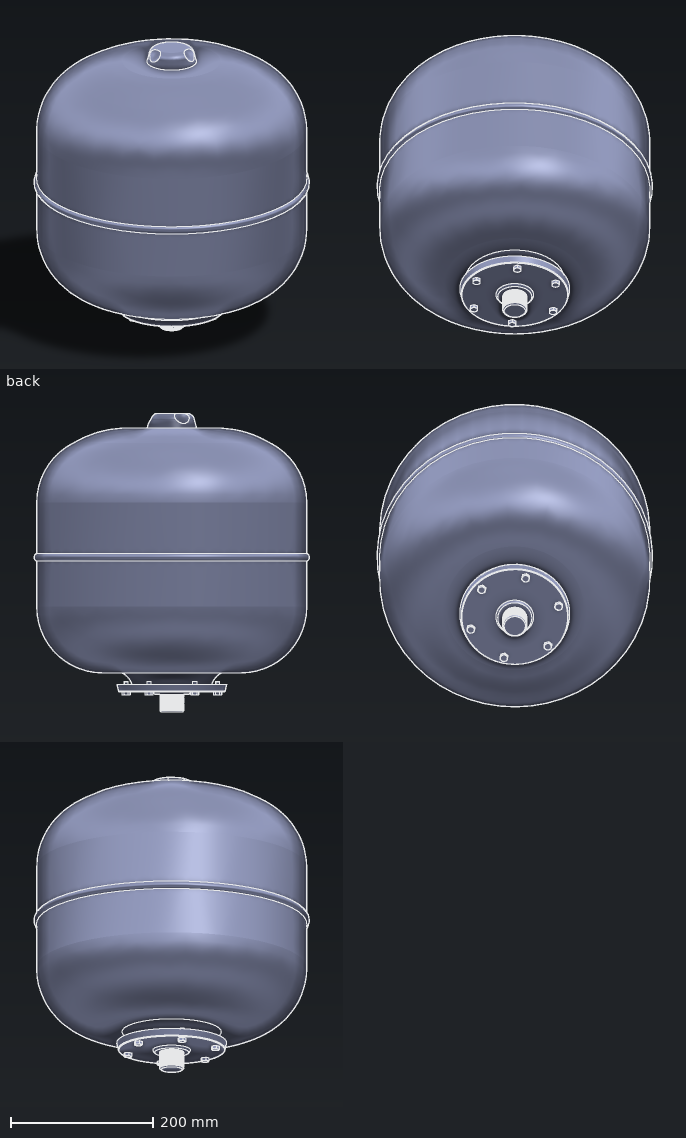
import cadquery as cq
import math

SHELL_R = 380.0 / 2
SHELL_BOTTOM_Z = 55.0
LOWER_KNUCKLE_R = 93.0
UPPER_KNUCKLE_Z = 294.5
UPPER_KNUCKLE_R = 94.0
CROWN_R = 139.5
CROWN_MID_R = 109.0
CROWN_MID_Z = 392.0
CROWN_TOP_R = 69.0
CROWN_TOP_Z = 399.5
BEAD_R = 193.5
BEAD_Z = 217.5
BEAD_HALF_WIDTH = 5.5

CAP_TOP_Z = 420.0
CAP_BASE_R = 35.0
CAP_SHOULDER_R = 32.0
CAP_SHOULDER_Z = 410.5
CAP_BULGE_R = 28.5
CAP_BULGE_Z = 417.0
CAP_TOP_R = 21.5
SCOOP_COUNT = 3
SCOOP_DIAMETER = 41.0
SCOOP_CENTER_R = 42.0
SCOOP_CENTER_Z = 424.0

FLANGE_TOP_Z = 39.0
FLANGE_RIM_Z = 30.0
FLANGE_BOTTOM_Z = 28.5
FLANGE_TOP_R = 77.3
FLANGE_RIM_R = 75.0
FLANGE_BOTTOM_R = 74.5
NECK_TOP_R = 69.7
NECK_MID_R = 62.5
NECK_MID_Z = 49.5
NECK_BOTTOM_R = 56.3
BOSS_TOP_R = 26.5
BOSS_BULGE_R = 25.5
BOSS_BULGE_Z = 27.0
BOSS_BOTTOM_R = 24.0
BOSS_BOTTOM_Z = 25.0

BOLT_COUNT = 6
BOLT_CIRCLE_R = 64.3
BOLT_DIAMETER = 6.0
BOLT_TOP_Z = 43.0
HEAD_CORNER_DIAMETER = 11.8
HEAD_BOTTOM_Z = 24.0
HEAD_CHAMFER = 1.0

NOZZLE_R = 34.0 / 2
NOZZLE_CHAMFER = 2.0
THREAD_PITCH = 1.5
THREAD_DEPTH = 0.65
THREAD_COUNT = 15


def revolve(profile):
    """Revolve a closed (radius, height) profile about the Z axis."""
    return profile.close().revolve(360, (0, 0, 0), (0, 1, 0))


def make_shell():
    lower_center_r = SHELL_R - LOWER_KNUCKLE_R
    lower_center_z = SHELL_BOTTOM_Z + LOWER_KNUCKLE_R
    upper_center_r = SHELL_R - UPPER_KNUCKLE_R
    diagonal = math.sqrt(0.5)
    turn = math.acos((CROWN_R - upper_center_r) / UPPER_KNUCKLE_R)

    def upper_knuckle(angle):
        return (
            upper_center_r + UPPER_KNUCKLE_R * math.cos(angle),
            UPPER_KNUCKLE_Z + UPPER_KNUCKLE_R * math.sin(angle),
        )

    lower_knuckle_mid = (
        lower_center_r + LOWER_KNUCKLE_R * diagonal,
        lower_center_z - LOWER_KNUCKLE_R * diagonal,
    )
    profile = (
        cq.Workplane("XZ")
        .moveTo(0, SHELL_BOTTOM_Z)
        .lineTo(lower_center_r, SHELL_BOTTOM_Z)
        .threePointArc(lower_knuckle_mid, (SHELL_R, lower_center_z))
        .lineTo(SHELL_R, BEAD_Z - BEAD_HALF_WIDTH)
        .threePointArc((BEAD_R, BEAD_Z), (SHELL_R, BEAD_Z + BEAD_HALF_WIDTH))
        .lineTo(SHELL_R, UPPER_KNUCKLE_Z)
        .threePointArc(upper_knuckle(turn / 2), upper_knuckle(turn))
        .threePointArc((CROWN_MID_R, CROWN_MID_Z), (CROWN_TOP_R, CROWN_TOP_Z))
        .lineTo(0, CROWN_TOP_Z)
    )
    return revolve(profile)


def make_cap():
    profile = (
        cq.Workplane("XZ")
        .moveTo(0, CROWN_TOP_Z)
        .lineTo(CAP_BASE_R, CROWN_TOP_Z)
        .lineTo(CAP_SHOULDER_R, CAP_SHOULDER_Z)
        .threePointArc((CAP_BULGE_R, CAP_BULGE_Z), (CAP_TOP_R, CAP_TOP_Z))
        .lineTo(0, CAP_TOP_Z)
    )
    scoops = (
        cq.Workplane("XY")
        .workplane(offset=SCOOP_CENTER_Z)
        .polarArray(SCOOP_CENTER_R, 0, 360, SCOOP_COUNT)
        .sphere(SCOOP_DIAMETER / 2)
    )
    return revolve(profile).cut(scoops)


def make_neck_and_flange():
    profile = (
        cq.Workplane("XZ")
        .moveTo(0, SHELL_BOTTOM_Z)
        .lineTo(NECK_TOP_R, SHELL_BOTTOM_Z)
        .threePointArc((NECK_MID_R, NECK_MID_Z), (NECK_BOTTOM_R, FLANGE_TOP_Z))
        .lineTo(FLANGE_TOP_R, FLANGE_TOP_Z)
        .lineTo(FLANGE_RIM_R, FLANGE_RIM_Z)
        .lineTo(FLANGE_BOTTOM_R, FLANGE_BOTTOM_Z)
        .lineTo(BOSS_TOP_R, FLANGE_BOTTOM_Z)
        .threePointArc((BOSS_BULGE_R, BOSS_BULGE_Z), (BOSS_BOTTOM_R, BOSS_BOTTOM_Z))
        .lineTo(0, BOSS_BOTTOM_Z)
    )
    return revolve(profile)


def make_bolts():
    bolt_points = cq.Workplane("XY").polarArray(BOLT_CIRCLE_R, 0, 360, BOLT_COUNT, rotate=False)
    head_height = FLANGE_BOTTOM_Z - HEAD_BOTTOM_Z
    hexagon = cq.Workplane("XY").polygon(6, HEAD_CORNER_DIAMETER).extrude(head_height)
    rounding = (
        cq.Workplane("XY")
        .circle(HEAD_CORNER_DIAMETER / 2)
        .extrude(head_height)
        .faces("<Z")
        .chamfer(HEAD_CHAMFER)
    )
    stud = cq.Workplane("XY").circle(BOLT_DIAMETER / 2).extrude(BOLT_TOP_Z - HEAD_BOTTOM_Z)
    bolt = hexagon.intersect(rounding).union(stud).translate((0, 0, HEAD_BOTTOM_Z)).val()
    return bolt_points.eachpoint(lambda place: bolt.moved(place), combine=False)


def make_nozzle():
    """Pipe stub whose thread is evenly spaced V-shaped ring grooves."""
    profile = cq.Workplane("XZ").lineTo(NOZZLE_R - NOZZLE_CHAMFER, 0).lineTo(NOZZLE_R, NOZZLE_CHAMFER)
    for index in range(THREAD_COUNT):
        groove_z = NOZZLE_CHAMFER + index * THREAD_PITCH
        profile = profile.lineTo(NOZZLE_R - THREAD_DEPTH, groove_z + THREAD_PITCH / 2)
        profile = profile.lineTo(NOZZLE_R, groove_z + THREAD_PITCH)
    profile = profile.lineTo(NOZZLE_R, BOSS_BOTTOM_Z).lineTo(0, BOSS_BOTTOM_Z)
    return revolve(profile)


result = (
    make_shell()
    .union(make_cap())
    .union(make_neck_and_flange())
    .union(make_nozzle())
    .union(make_bolts())
)